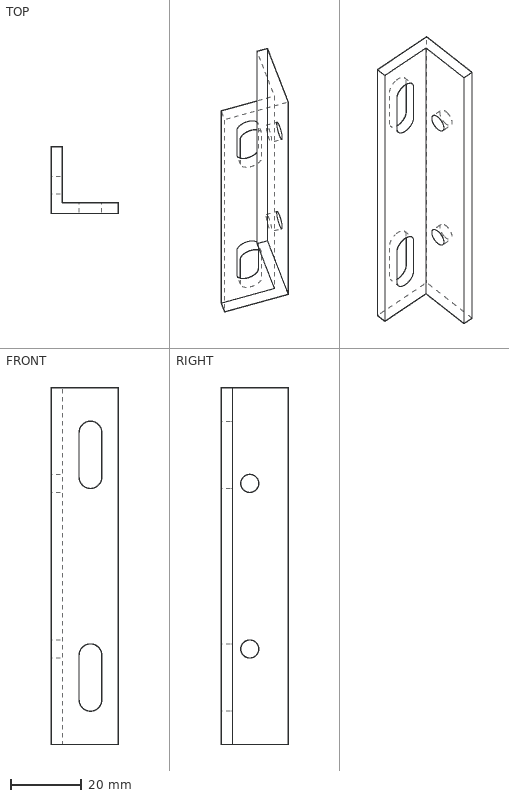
import cadquery as cq

length = 101.6
leg_width = 19.1
thickness = 3.1

slot_width = 6.4
slot_length = 19.1
slot_from_corner = 11.2
slot_from_end = 19.1

hole_diameter = 5.1
hole_from_corner = 8.1
hole_spacing = 47.1

slot_offset = length / 2 - slot_from_end
hole_offset = hole_spacing / 2


def angle_profile():
    """L-shaped bar with its outer corner on the Z axis, rising from Z = 0."""
    return (
        cq.Workplane("XY")
        .polyline([
            (0, 0),
            (leg_width, 0),
            (leg_width, thickness),
            (thickness, thickness),
            (thickness, leg_width),
            (0, leg_width),
        ])
        .close()
        .extrude(length)
    )


def slot_cutters():
    """Two upright slots, cut along +Y through the front leg only."""
    return (
        cq.Workplane("XZ", origin=(slot_from_corner, 0, length / 2))
        .pushPoints([(0, -slot_offset), (0, slot_offset)])
        .slot2D(slot_length, slot_width, 90)
        .extrude(-thickness)
    )


def hole_cutters():
    """Two round holes, cut along +X through the side leg only."""
    return (
        cq.Workplane("YZ", origin=(0, hole_from_corner, length / 2))
        .pushPoints([(0, -hole_offset), (0, hole_offset)])
        .circle(hole_diameter / 2)
        .extrude(thickness)
    )


result = angle_profile().cut(slot_cutters()).cut(hole_cutters())